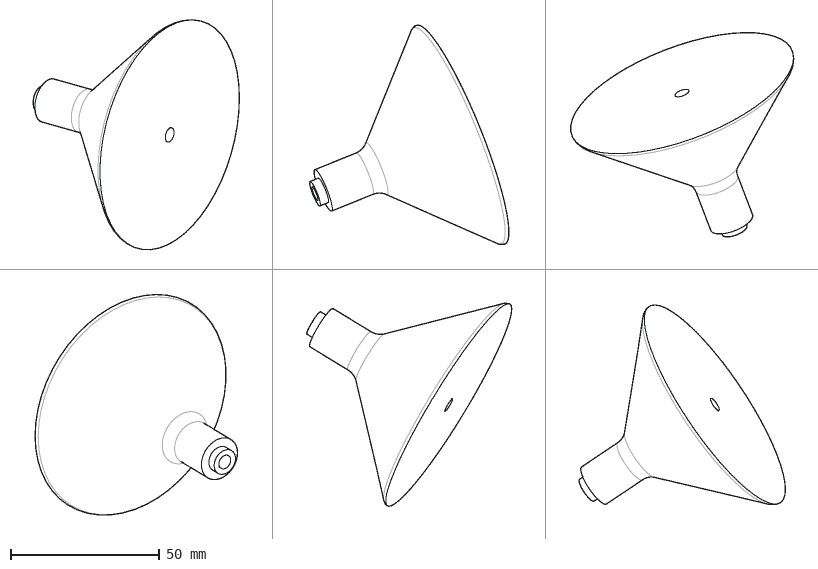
import cadquery as cq
import math

rim_radius = 39.8
total_length = 53.85
spigot_radius = 4.5
spigot_length = 3.0
stem_radius = 7.6
bore_radius = 2.5
rim_blend_radius = 1.7
cone_half_angle = 45.0
throat_blend_radius = 6.4

tip_x = -total_length / 2
shoulder_x = tip_x + spigot_length
mouth_x = total_length / 2
half_angle = math.radians(cone_half_angle)

cone_end_x = mouth_x - rim_blend_radius * math.sin(half_angle)
cone_end_radius = rim_radius - rim_blend_radius * (1 - math.cos(half_angle))

corner_x = cone_end_x - (cone_end_radius - stem_radius) / math.tan(half_angle)
tangent_length = throat_blend_radius * math.tan(half_angle / 2)
arc_start_x = corner_x - tangent_length
arc_end_x = corner_x + tangent_length * math.cos(half_angle)
arc_end_radius = stem_radius + tangent_length * math.sin(half_angle)
arc_mid_x = arc_start_x + throat_blend_radius * math.sin(half_angle / 2)
arc_mid_radius = stem_radius + throat_blend_radius * (1 - math.cos(half_angle / 2))

profile = (
    cq.Workplane("XY")
    .moveTo(tip_x, bore_radius)
    .lineTo(tip_x, spigot_radius)
    .lineTo(shoulder_x, spigot_radius)
    .lineTo(shoulder_x, stem_radius)
    .lineTo(arc_start_x, stem_radius)
    .threePointArc((arc_mid_x, arc_mid_radius), (arc_end_x, arc_end_radius))
    .lineTo(cone_end_x, cone_end_radius)
    .tangentArcPoint((mouth_x, rim_radius), relative=False)
    .lineTo(mouth_x, bore_radius)
    .close()
)

result = profile.revolve(360, (0, 0, 0), (1, 0, 0))